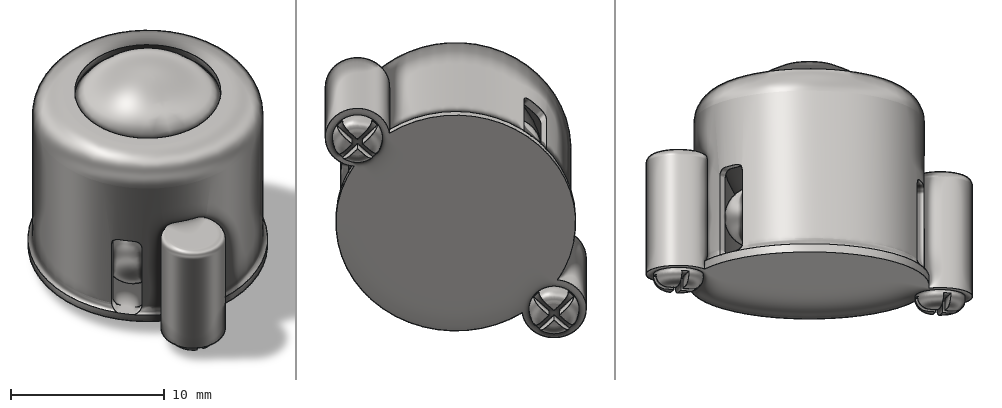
import cadquery as cq
import math

overall_length = 22

housing_radius = 7.5
housing_height = 13.0
crown_fillet = 2.0
cavity_radius = 7.0
wall = housing_radius - cavity_radius
opening_radius = 4.75

flange_diameter = 15.6
flange_radius = flange_diameter / 2
base_thickness = 0.55
small_round = 0.5

root_center_radius = housing_radius + small_round
root_end_angle = math.acos((root_center_radius - flange_radius) / small_round)
root_center_z = base_thickness + small_round * math.sin(root_end_angle)

slot_width = 2.0
slot_bottom = base_thickness
slot_top = 6.51
slot_count = 3
first_slot_angle = 90
slot_pitch = 360 / slot_count

post_diameter = 4.2
post_radius = post_diameter / 2
post_height = 7.99
post_offset = overall_length / 2 - post_radius

head_radius = 1.63
head_rim_height = 0.2
head_round = 0.8
head_height = head_rim_height + head_round
cross_slot_width = 0.48

main_ball_radius = 5.7
main_ball_top = 14.95
main_ball_z = main_ball_top - main_ball_radius

small_ball_radius = 2.0
small_ball_z = 3.52
small_ball_orbit = math.sqrt(
    (main_ball_radius + small_ball_radius) ** 2 - (main_ball_z - small_ball_z) ** 2
)


def shell_blank():
    """Solid turned body: flange, concave flange root, straight wall and rounded crown."""
    mid_angle = root_end_angle / 2
    root_mid = (
        root_center_radius - small_round * math.cos(mid_angle),
        root_center_z - small_round * math.sin(mid_angle),
    )
    profile = (
        cq.Workplane("XZ")
        .lineTo(flange_radius, 0)
        .lineTo(flange_radius, base_thickness)
        .threePointArc(root_mid, (housing_radius, root_center_z))
        .lineTo(housing_radius, housing_height)
        .lineTo(0, housing_height)
        .close()
    )
    return profile.revolve(360, (0, 0), (0, 1)).faces(">Z").edges().fillet(crown_fillet)


def post(x):
    """Round-topped side post standing on Z = 0."""
    return (
        cq.Workplane("XY")
        .center(x, 0)
        .circle(post_radius)
        .extrude(post_height)
        .faces(">Z")
        .edges()
        .fillet(small_round)
    )


def screw_head(x):
    """Rounded head with a cross slot, hanging below a post."""
    head = (
        cq.Workplane("XY")
        .center(x, 0)
        .circle(head_radius)
        .extrude(-head_height)
        .faces("<Z")
        .edges()
        .fillet(head_round)
    )
    slot_bar = (
        cq.Workplane("XY", origin=(x, 0, -head_rim_height))
        .rect(2 * head_radius, cross_slot_width)
        .extrude(-head_round)
    )
    crossing_bar = slot_bar.rotate((x, 0, 0), (x, 0, 1), 90)
    return head.cut(slot_bar).cut(crossing_bar)


def cavity():
    """Inside space with a wall of even thickness, plus the round top opening."""
    space = (
        cq.Workplane("XY", origin=(0, 0, base_thickness))
        .circle(cavity_radius)
        .extrude(housing_height - wall - base_thickness)
        .faces(">Z")
        .edges()
        .fillet(crown_fillet - wall)
    )
    opening = (
        cq.Workplane("XY", origin=(0, 0, main_ball_z))
        .circle(opening_radius)
        .extrude(housing_height - main_ball_z)
    )
    return space.union(opening)


def wall_slot(angle):
    """Cutter for one round-cornered upright slot, reaching out from the axis."""
    return (
        cq.Workplane("YZ")
        .center(0, (slot_bottom + slot_top) / 2)
        .rect(slot_width, slot_top - slot_bottom)
        .extrude(flange_radius)
        .edges("|X")
        .fillet(small_round)
        .rotate((0, 0, 0), (0, 0, 1), angle)
    )


def make_housing(slot_angles):
    """Housing with its two posts and their heads as one solid."""
    body = shell_blank()
    for x in (-post_offset, post_offset):
        body = body.union(post(x)).union(screw_head(x))
    body = body.cut(cavity())
    for angle in slot_angles:
        body = body.cut(wall_slot(angle))
    return body.solids()


def make_main_ball():
    return cq.Workplane("XY", origin=(0, 0, main_ball_z)).sphere(main_ball_radius)


def make_small_ball(angle):
    """One supporting ball, centred behind the slot at the given angle."""
    x = small_ball_orbit * math.cos(math.radians(angle))
    y = small_ball_orbit * math.sin(math.radians(angle))
    return cq.Workplane("XY", origin=(x, y, small_ball_z)).sphere(small_ball_radius)


slot_angles = [first_slot_angle + i * slot_pitch for i in range(slot_count)]

housing = make_housing(slot_angles)
main_ball = make_main_ball()
small_balls = [make_small_ball(angle) for angle in slot_angles]

result = cq.Compound.makeCompound(
    [housing.val(), main_ball.val(), *[ball.val() for ball in small_balls]]
)